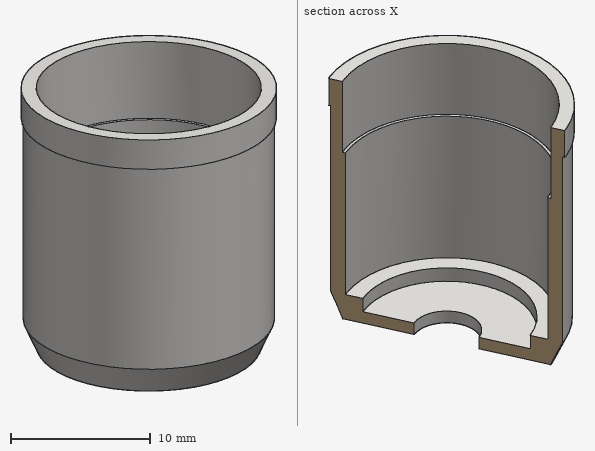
import cadquery as cq

height = 20.2
collar_radius = 9.15
collar_height = 2.3
body_radius = 9.0

taper_height = 2.15
bottom_radius = 8.05

mouth_radius = 8.05
mouth_depth = 6.02
bore_radius = 7.82

recess_radius = 6.46
floor_thickness = 1.0
floor_hole_radius = 2.5

collar_underside = height - collar_height
mouth_ledge = height - mouth_depth
bore_ledge = taper_height


def revolved_outside():
    """Solid sleeve with the tapered lower end and the collar at the top."""
    outline = [
        (0, 0),
        (bottom_radius, 0),
        (body_radius, taper_height),
        (body_radius, collar_underside),
        (collar_radius, collar_underside),
        (collar_radius, height),
        (0, height),
    ]
    return cq.Workplane("XZ").polyline(outline).close().revolve(360, (0, 0, 0), (0, 1, 0))


def bore_step(radius, bottom):
    """Cylinder to remove, from the given height up through the open top."""
    return cq.Workplane("XY").workplane(offset=bottom).circle(radius).extrude(height - bottom)


result = revolved_outside()
bore_steps = [
    (mouth_radius, mouth_ledge),
    (bore_radius, bore_ledge),
    (recess_radius, floor_thickness),
    (floor_hole_radius, 0),
]
for step_radius, step_bottom in bore_steps:
    result = result.cut(bore_step(step_radius, step_bottom))